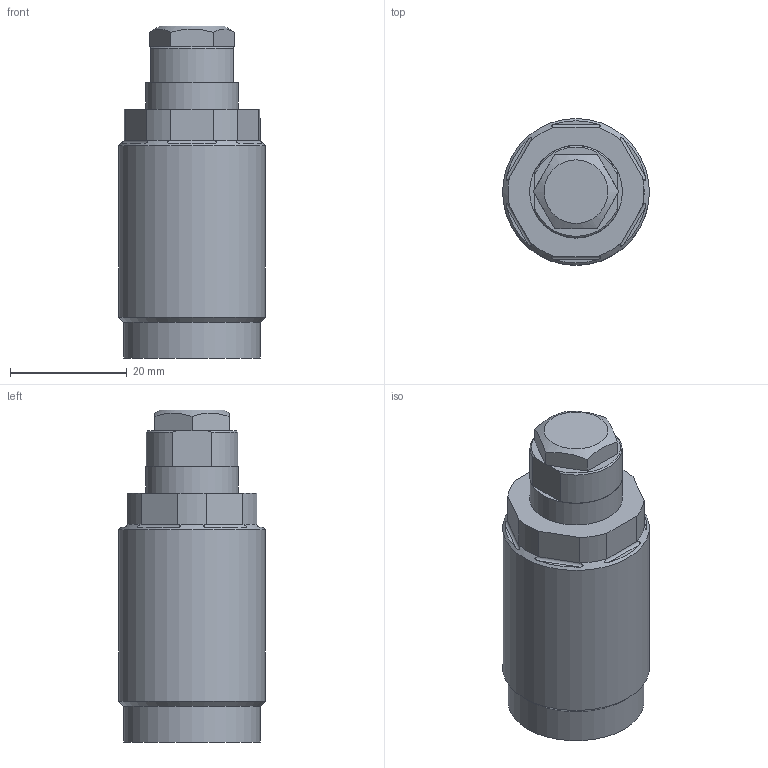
import cadquery as cq
import math

total_height = 56.9
base_top = 6.1
hex_bottom = 37.3
hex_top = 42.65
collar_top = 47.2
boss_top = 53.35

body_diameter = 25.15
base_diameter = 23.35
collar_diameter = 15.9
boss_diameter = 15.8

large_hex_across_flats = 22.2
flat_fillet_radius = 0.5
flat_floor = hex_bottom - flat_fillet_radius

boss_flat_spacing = 14.3
boss_chamfer = 0.25

head_across_flats = 12.7
head_face_diameter = 10.9
head_bevel_angle = 30.0

HEX_SIDES = 6


def cylinder(diameter, bottom, top):
    """Upright cylinder between two heights."""
    return cq.Workplane("XY").workplane(offset=bottom).circle(diameter / 2).extrude(top - bottom)


def make_body():
    """Base, main barrel with 45 degree shoulders, and the round blank of the large hexagon."""
    base_radius = base_diameter / 2
    body_radius = body_diameter / 2
    shoulder = body_radius - base_radius
    profile = [
        (0, 0),
        (base_radius, 0),
        (base_radius, base_top),
        (body_radius, base_top + shoulder),
        (body_radius, hex_bottom - shoulder),
        (base_radius, hex_bottom),
        (base_radius, hex_top),
        (0, hex_top),
    ]
    return cq.Workplane("XZ").polyline(profile).close().revolve(360, (0, 0), (0, 1))


def make_flat_cutter():
    """Cutter for one hexagon flat on the +Y side, rounded along its inner bottom edge."""
    flat_distance = large_hex_across_flats / 2
    outer = body_diameter
    arc_inset = flat_fillet_radius * (1 - math.sqrt(0.5))
    return (
        cq.Workplane("YZ")
        .moveTo(flat_distance, hex_top)
        .lineTo(flat_distance, flat_floor + flat_fillet_radius)
        .threePointArc(
            (flat_distance + arc_inset, flat_floor + arc_inset),
            (flat_distance + flat_fillet_radius, flat_floor),
        )
        .lineTo(outer, flat_floor)
        .lineTo(outer, hex_top)
        .close()
        .extrude(body_diameter / 2, both=True)
    )


def cut_large_hex(body):
    """Mill the six flats of the large hexagon."""
    cutter = make_flat_cutter()
    for side in range(HEX_SIDES):
        body = body.cut(cutter.rotate((0, 0, 0), (0, 0, 1), side * 360 / HEX_SIDES))
    return body


def make_boss():
    """Round boss with a chamfered top edge and two flats facing -X and +X."""
    boss = cylinder(boss_diameter, collar_top, boss_top).faces(">Z").chamfer(boss_chamfer)
    slab = (
        cq.Workplane("XY")
        .workplane(offset=collar_top)
        .rect(boss_flat_spacing, boss_diameter)
        .extrude(boss_top - collar_top)
    )
    return boss.intersect(slab)


def make_head():
    """Small hexagon head with corners on the X axis and a conical bevel on top."""
    across_corners = head_across_flats / math.cos(math.pi / HEX_SIDES)
    corner_radius = across_corners / 2
    face_radius = head_face_diameter / 2
    bevel_drop = (corner_radius - face_radius) * math.tan(math.radians(head_bevel_angle))
    hexagon = (
        cq.Workplane("XY")
        .workplane(offset=boss_top)
        .polygon(HEX_SIDES, across_corners)
        .extrude(total_height - boss_top)
    )
    bevel_profile = [
        (0, boss_top),
        (corner_radius, boss_top),
        (corner_radius, total_height - bevel_drop),
        (face_radius, total_height),
        (0, total_height),
    ]
    bevel = cq.Workplane("XZ").polyline(bevel_profile).close().revolve(360, (0, 0), (0, 1))
    return hexagon.intersect(bevel)


collar = cylinder(collar_diameter, hex_top, collar_top)
result = cut_large_hex(make_body()).union(collar).union(make_boss()).union(make_head())